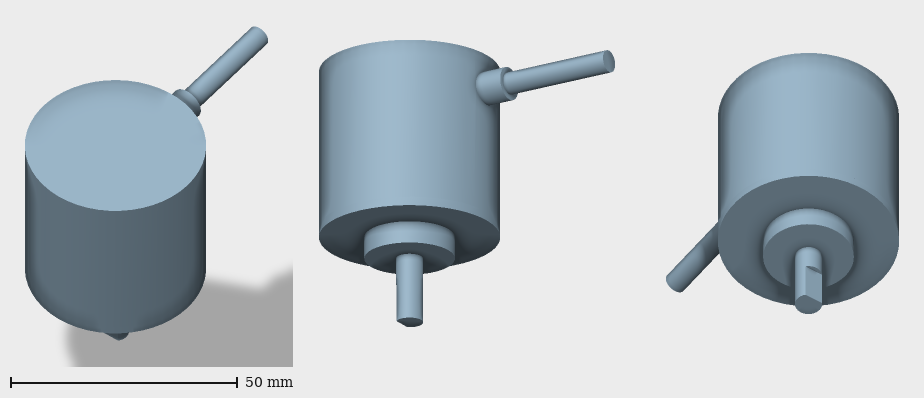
import cadquery as cq

housing_diameter = 40.0
housing_height = 37.0

grommet_diameter = 7.5
grommet_length = 6.0
cable_diameter = 5.0
cable_length = 26.0
cable_depth_below_top = 8.0

flange_thickness = 2.0
boss_diameter = 20.0
boss_height = 5.0

shaft_diameter = 6.0
shaft_length = 15.05
flat_length = 9.0
flat_depth = 1.0

boss_top = -flange_thickness
boss_bottom = boss_top - boss_height
shaft_bottom = boss_bottom - shaft_length
cable_level = housing_height - cable_depth_below_top

housing_radius = housing_diameter / 2


def outlet_cylinder(diameter, end_distance):
    """Cylinder along +Y from the housing axis to the given distance."""
    plane = cq.Plane(origin=(0, 0, cable_level), xDir=(1, 0, 0), normal=(0, 1, 0))
    return cq.Workplane(plane).circle(diameter / 2).extrude(end_distance)


def make_housing():
    """Can with the grommet and the cable leaving its side."""
    grommet_end = housing_radius + grommet_length
    can = cq.Workplane("XY").circle(housing_radius).extrude(housing_height)
    grommet = outlet_cylinder(grommet_diameter, grommet_end)
    cable = outlet_cylinder(cable_diameter, grommet_end + cable_length)
    return can.union(grommet).union(cable)


def make_flange():
    """Disc closing the housing, with the boss below it."""
    disc = cq.Workplane("XY").circle(housing_radius).extrude(-flange_thickness)
    boss = cq.Workplane("XY", origin=(0, 0, boss_top)).circle(boss_diameter / 2).extrude(-boss_height)
    return disc.union(boss)


def make_shaft():
    """Round shaft below the boss, with a flat at its free end."""
    shaft = cq.Workplane("XY", origin=(0, 0, shaft_bottom)).circle(shaft_diameter / 2).extrude(shaft_length)
    flat_y = flat_depth - shaft_diameter / 2
    flat_cutter = (
        cq.Workplane("XY", origin=(0, flat_y, shaft_bottom))
        .box(shaft_diameter, shaft_diameter, flat_length, centered=(True, False, False))
        .translate((0, -shaft_diameter, 0))
    )
    return shaft.cut(flat_cutter)


housing = make_housing()
flange = make_flange()
shaft = make_shaft()

result = cq.Compound.makeCompound([housing.val(), flange.val(), shaft.val()])